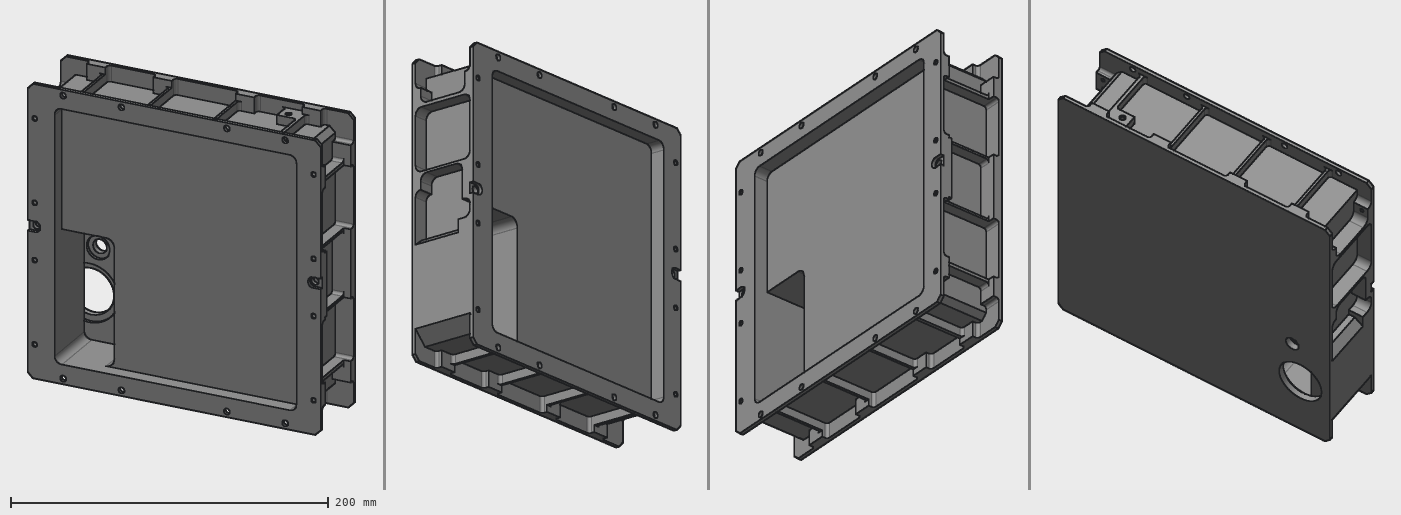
import cadquery as cq

WIDTH, DEPTH, HEIGHT = 205.8, 49.8, 203.3
HALF_W, HALF_H = WIDTH / 2, HEIGHT / 2
CORNER_CHAMFER = 3.7
FLANGE = 2.7
FRONT_IN = FLANGE
REAR_IN = DEPTH - FLANGE
BEYOND = 4.1

REAR_BOSS_Y = 42.8
FRONT_BOSS_Y = 6.8
SLOT_BOSS_Y = 9.0

CAVITY_X = (-84.0, 86.0)
CAVITY_Z = (-88.0, 88.3)
CAVITY_RADIUS, DEEP_RADIUS = 5.0, 6.0
CAVITY_DEPTH = 10.0
DEEP_RIGHT, DEEP_TOP = -47.0, 0.5
DEEP_FLOOR = 42.5
STEP_DEPTH = 2.5
PORT_X, PORT_Z = -80.5, -56.0
PORT_DIA, PORT_STEP_DIA = 32.0, 40.7
PASS_X, PASS_Z = -74.3, -23.7
PASS_DIA, PASS_STEP_DIA = 9.7, 16.3

BAY_FLOOR = 90.5
RIB_TOP = 97.0
BAY_RADIUS = 2.0
RIB_1 = (-71.2, -69.3)
RIB_2 = (-24.5, -22.6)
RIB_3 = (22.2, 24.0)
RIB_4 = (69.0, 71.5)
BOSS_LENGTH = 13.0
BLOCK_LEFT, BLOCK_FRONT = 55.4, 34.4
BLOCK_HOLE_X, BLOCK_HOLE_Y = 61.3, 39.0

LEFT_FLOOR, RIGHT_FLOOR = -92.2, 90.1
RIGHT_RIB = 98.2
SIDE_RADIUS, SIDE_STEP_RADIUS = 5.0, 4.0
UPPER_BAY_BOTTOM, UPPER_FRONT_STEP = 69.8, 82.7
LEFT_REAR_STEP, RIGHT_REAR_STEP = 80.3, 81.9
MIDDLE_BAY_Z = (23.9, 67.3)
LOWER_BAY_TOP, LOWER_REAR_STEP = 22.2, 11.5
LOWER_BAY_BOTTOM = -19.8
FOOT_Z = (-15.6, -2.7)
RAMP_FRONT, RAMP_RUN, RAMP_DROP = 12.3, 6.2, 4.7
LEFT_CORNER_CUT = 9.5
RIGHT_CORNER_CUT = 4.1

HOLE_INSET = 4.0
TOP_HOLE_X = (37.0, 78.0)
TOP_HOLE_DIA = 4.1
SIDE_HOLE_X = 98.0
SIDE_HOLE_Z = (19.8, 78.0)
SCREW_DIA = 2.7
SIDE_MOUTH_DIA, BLOCK_MOUTH_DIA = 3.5, 4.1
SCREW_DEPTH = 6.2
SLOT_X, SLOT_Z = 97.7, 3.3
SLOT_WIDTH = 7.5
PIN_DIA, PIN_DEPTH = 5.1, 6.2


def box(x, y, z):
    """Box between two limits on each axis."""
    return cq.Workplane("XY").box(x[1] - x[0], y[1] - y[0], z[1] - z[0], centered=False).translate(
        (x[0], y[0], z[0])
    )


def round_box(x, y, z, axis, radius):
    """Box whose edges along one axis are rounded."""
    return box(x, y, z).edges("|" + axis).fillet(radius)


def join(solids):
    total = solids[0]
    for solid in solids[1:]:
        total = total.union(solid)
    return total


def rod(x, z, diameter, start, end):
    """Cylinder along Y."""
    return cq.Workplane("XZ", origin=(x, start, z)).circle(diameter / 2).extrude(start - end)


def prism(points, y):
    """XZ outline swept between two Y limits."""
    return cq.Workplane("XZ", origin=(0, y[0], 0)).polyline(points).close().extrude(y[0] - y[1])


def mirrored_z(solid):
    return solid.mirror("XY")


def top_bays(with_block):
    """Cutter for the open bays along the top, leaving ribs, rear bosses and the screw block."""
    outside = HALF_W + BEYOND
    bay_z = (BAY_FLOOR, HALF_H + BEYOND)
    bays = [
        (-outside, RIB_1[0]),
        (RIB_1[1], RIB_2[0]),
        (RIB_2[1], RIB_3[0]),
        (RIB_3[1], RIB_4[0]),
        (RIB_4[1], outside),
    ]
    reaches = [
        (-outside, RIB_1[1] - BOSS_LENGTH),
        (RIB_1[1], RIB_2[1] - BOSS_LENGTH),
        (RIB_2[1], RIB_3[0]),
        (RIB_3[0] + BOSS_LENGTH, RIB_4[0]),
        (RIB_4[0] + BOSS_LENGTH, outside),
    ]
    pieces = [round_box(x, (FRONT_IN, REAR_BOSS_Y), bay_z, "Z", BAY_RADIUS) for x in bays]
    pieces += [round_box(x, (FRONT_IN, REAR_IN), bay_z, "Z", BAY_RADIUS) for x in reaches]
    cutter = join(pieces)
    if with_block:
        block_x = (BLOCK_LEFT, RIB_4[0])
        block = box(block_x, (BLOCK_FRONT - BAY_RADIUS, DEPTH), (BAY_FLOOR, RIB_TOP))
        block_fillet_x = (BLOCK_LEFT - BAY_RADIUS, BLOCK_LEFT)
        fillet_stock = box(block_fillet_x, (REAR_IN - BAY_RADIUS, REAR_IN), (BAY_FLOOR, RIB_TOP))
        in_front = round_box(
            (RIB_3[1], RIB_4[0]), (FRONT_IN, BLOCK_FRONT), bay_z, "Z", BAY_RADIUS
        )
        beside = round_box(
            (RIB_3[0] + BOSS_LENGTH, BLOCK_LEFT), (FRONT_IN, REAR_IN), bay_z, "Z", BAY_RADIUS
        )
        cutter = cutter.cut(block.cut(in_front)).cut(fillet_stock.cut(beside))
    above_ribs = box((-outside, outside), (FRONT_IN, REAR_BOSS_Y), (RIB_TOP, HALF_H + BEYOND))
    return cutter.union(above_ribs)


def upper_side_bay(x, radius, step_radius, rear_step):
    """Bay at the top of a side, open upward and widened to both flanges above its bosses."""
    top = HALF_H + BEYOND
    middle = DEPTH / 2
    narrow = round_box(x, (FRONT_BOSS_Y, REAR_BOSS_Y), (UPPER_BAY_BOTTOM, top), "X", radius)
    rear = round_box(x, (middle, REAR_IN), (rear_step, top), "X", step_radius)
    front = round_box(x, (FRONT_IN, middle), (UPPER_FRONT_STEP, top), "X", step_radius)
    filler = box(x, (FRONT_IN, REAR_IN), (BAY_FLOOR, top))
    return join([narrow, rear, front, filler])


def lower_left_bay(x):
    """Left bay that steps around the bosses and ends in a ramp."""
    rear_part = (LOWER_BAY_BOTTOM, LOWER_REAR_STEP)
    narrow = round_box(x, (SLOT_BOSS_Y, REAR_BOSS_Y), (FOOT_Z[0], LOWER_BAY_TOP), "X", SIDE_RADIUS)
    rear = round_box(x, (RAMP_FRONT, REAR_IN), rear_part, "X", SIDE_STEP_RADIUS)
    foot = round_box(x, (FRONT_IN, DEPTH / 2), FOOT_Z, "X", SIDE_RADIUS)
    ramp_top = LOWER_BAY_BOTTOM + SIDE_RADIUS
    ramp = prism(
        [
            (LEFT_FLOOR, ramp_top),
            (-HALF_W, ramp_top),
            (-HALF_W, LOWER_BAY_BOTTOM - RAMP_DROP),
            (-HALF_W + RAMP_RUN, LOWER_BAY_BOTTOM),
            (LEFT_FLOOR, LOWER_BAY_BOTTOM),
        ],
        (RAMP_FRONT, REAR_IN),
    )
    return join([narrow, rear, foot, ramp])


def left_bays():
    x = (-HALF_W - BEYOND, LEFT_FLOOR)
    upper = upper_side_bay(x, SIDE_RADIUS, SIDE_STEP_RADIUS, LEFT_REAR_STEP)
    middle = round_box(x, (FRONT_IN, REAR_IN), MIDDLE_BAY_Z, "X", SIDE_RADIUS)
    return join([upper, middle, lower_left_bay(x)])


def right_bays():
    """Right side: bays symmetric about mid height, with ribs set back from the flange edges."""
    x = (RIGHT_FLOOR, HALF_W + BEYOND)
    upper = upper_side_bay(x, BAY_RADIUS, BAY_RADIUS, RIGHT_REAR_STEP)
    middle = round_box(x, (FRONT_IN, REAR_IN), MIDDLE_BAY_Z, "X", BAY_RADIUS)
    centre_z = (-LOWER_BAY_TOP, LOWER_BAY_TOP)
    centre = round_box(x, (SLOT_BOSS_Y, REAR_BOSS_Y), centre_z, "X", BAY_RADIUS)
    beyond_ribs = (RIGHT_RIB, x[1])
    slot_boss = box(beyond_ribs, (0, SLOT_BOSS_Y), centre_z)
    above_ribs = box(beyond_ribs, (FRONT_BOSS_Y, REAR_BOSS_Y), (-HALF_H, HALF_H)).cut(slot_boss)
    return join([upper, middle, mirrored_z(upper), mirrored_z(middle), centre, above_ribs])


def corner_cuts():
    """Sloped corners of the body between the flanges: large at lower left, small at right."""
    between = (FRONT_IN, REAR_IN)
    left = prism(
        [
            (-HALF_W, -BAY_FLOOR),
            (-HALF_W, -BAY_FLOOR + LEFT_CORNER_CUT),
            (-HALF_W + LEFT_CORNER_CUT, -BAY_FLOOR),
        ],
        between,
    )
    right = prism(
        [
            (RIGHT_FLOOR, BAY_FLOOR),
            (RIGHT_FLOOR - RIGHT_CORNER_CUT, BAY_FLOOR),
            (RIGHT_FLOOR, BAY_FLOOR - RIGHT_CORNER_CUT),
        ],
        between,
    )
    return join([left, right, mirrored_z(right)])


def cavity():
    """Shallow front cavity, the deep pocket and its two stepped openings through the rear."""
    shallow = round_box(CAVITY_X, (-BEYOND, CAVITY_DEPTH), CAVITY_Z, "Y", CAVITY_RADIUS)
    deep_block = box((CAVITY_X[0], DEEP_RIGHT), (0, DEEP_FLOOR), (CAVITY_Z[0], DEEP_TOP))
    deep = deep_block.edges("|Y").edges(">X").fillet(DEEP_RADIUS).intersect(
        round_box(CAVITY_X, (0, DEEP_FLOOR), CAVITY_Z, "Y", CAVITY_RADIUS)
    )
    step_end = DEEP_FLOOR + STEP_DEPTH
    pieces = [shallow, deep]
    for x, z, hole, step in (
        (PORT_X, PORT_Z, PORT_DIA, PORT_STEP_DIA),
        (PASS_X, PASS_Z, PASS_DIA, PASS_STEP_DIA),
    ):
        pieces.append(rod(x, z, step, DEEP_FLOOR, step_end))
        pieces.append(rod(x, z, hole, DEEP_FLOOR, DEPTH + BEYOND))
    return join(pieces)


def screw_hole(mouth_dia):
    """Blind screw hole along -Z from the origin, with a chamfered mouth."""
    mouth = (mouth_dia - SCREW_DIA) / 2
    return (
        cq.Workplane("XZ")
        .polyline(
            [
                (0, 0),
                (mouth_dia / 2, 0),
                (SCREW_DIA / 2, -mouth),
                (SCREW_DIA / 2, -SCREW_DEPTH),
                (0, -SCREW_DEPTH),
            ]
        )
        .close()
        .revolve(360, (0, 0, 0), (0, 1, 0))
    )


def flange_holes():
    pieces = []
    front_screw = screw_hole(SIDE_MOUTH_DIA).rotate((0, 0, 0), (1, 0, 0), 90)
    for side in (-1, 1):
        for level in (-1, 1):
            for x in TOP_HOLE_X:
                z = level * (HALF_H - HOLE_INSET)
                pieces.append(rod(side * x, z, TOP_HOLE_DIA, -BEYOND, FRONT_IN))
            for z in SIDE_HOLE_Z:
                pieces.append(front_screw.translate((side * SIDE_HOLE_X, 0, level * z)))
        slot_end = side * (HALF_W + BEYOND)
        slot_x = sorted((side * SLOT_X, slot_end))
        slot_z = (SLOT_Z - SLOT_WIDTH / 2, SLOT_Z + SLOT_WIDTH / 2)
        pieces.append(box(slot_x, (-BEYOND, FRONT_IN), slot_z))
        pieces.append(rod(side * SLOT_X, SLOT_Z, SLOT_WIDTH, -BEYOND, FRONT_IN))
        pieces.append(rod(side * SLOT_X, SLOT_Z, PIN_DIA, 0, PIN_DEPTH))
    return pieces


body = box((-HALF_W, HALF_W), (0, DEPTH), (-HALF_H, HALF_H)).edges("|Y").chamfer(CORNER_CHAMFER)
for cutter in (
    top_bays(with_block=True),
    mirrored_z(top_bays(with_block=False)),
    left_bays(),
    right_bays(),
    corner_cuts(),
    cavity(),
    screw_hole(BLOCK_MOUTH_DIA).translate((BLOCK_HOLE_X, BLOCK_HOLE_Y, RIB_TOP)),
    *flange_holes(),
):
    body = body.cut(cutter)
result = body